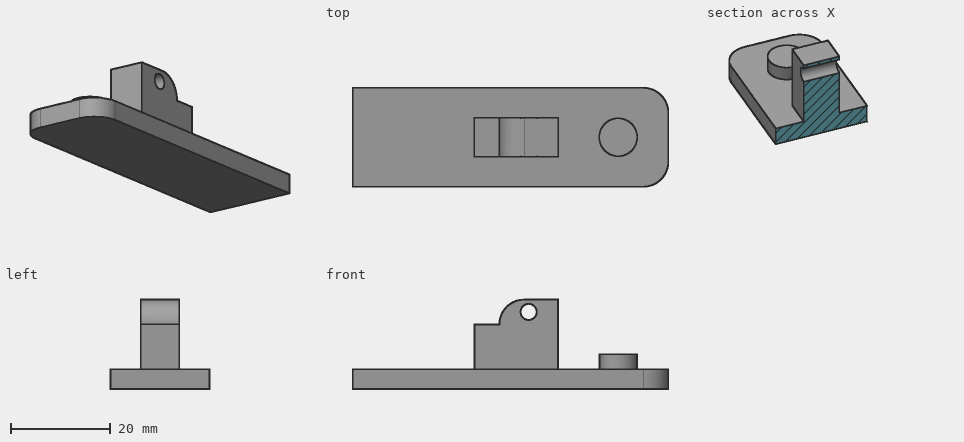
import cadquery as cq

plate_length = 63.5
plate_width = 19.94
plate_thickness = 4.0
corner_radius = 5.08

overall_height = 18.0
lug_start = 24.5
lug_length = 16.8
lug_width = 7.8
step_length = 5.0
lug_round_radius = 5.0

hole_diameter = 3.2
hole_x = 35.4
hole_z = 15.5

pin_diameter = 7.62
pin_height = 3.0
pin_x = 53.4


def make_plate():
    """Flat plate with its two +X corners rounded."""
    plate = cq.Workplane("XY").box(
        plate_length, plate_width, plate_thickness, centered=(False, True, False)
    )
    return plate.edges("|Z and >X").fillet(corner_radius)


def make_lug():
    """Stepped lug whose step rises into a quarter round, with a hole along Y."""
    lug_end = lug_start + lug_length
    round_start = lug_start + step_length
    step_z = overall_height - lug_round_radius
    profile = (
        cq.Workplane("XZ")
        .moveTo(lug_start, plate_thickness)
        .lineTo(lug_start, step_z)
        .lineTo(round_start, step_z)
        .radiusArc((round_start + lug_round_radius, overall_height), lug_round_radius)
        .lineTo(lug_end, overall_height)
        .lineTo(lug_end, plate_thickness)
        .close()
    )
    lug = profile.extrude(lug_width / 2, both=True)
    hole = (
        cq.Workplane("XZ")
        .center(hole_x, hole_z)
        .circle(hole_diameter / 2)
        .extrude(lug_width, both=True)
    )
    return lug.cut(hole)


def make_pin():
    """Short cylinder standing on the plate."""
    return (
        cq.Workplane("XY", origin=(pin_x, 0, plate_thickness))
        .circle(pin_diameter / 2)
        .extrude(pin_height)
    )


result = make_plate().union(make_lug()).union(make_pin())